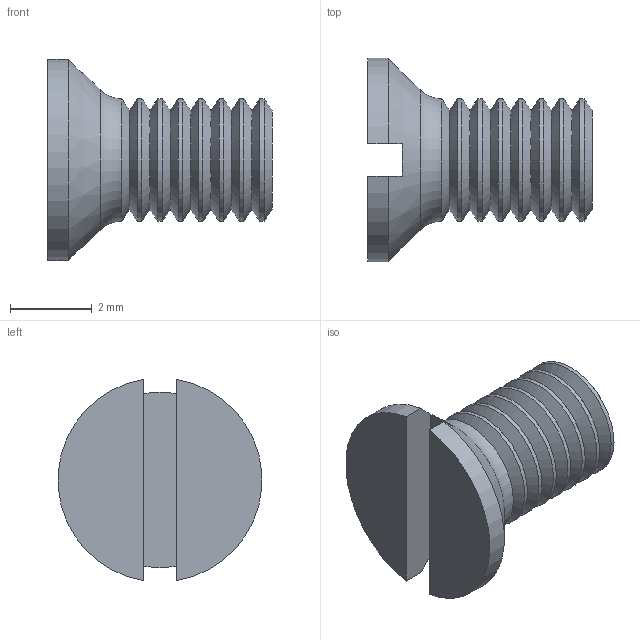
import cadquery as cq
import math

head_radius = 2.5
rim_length = 0.5
total_length = 5.5
slot_width = 0.8
slot_depth = 0.85

crest_radius = 1.5
root_radius = 1.22
pitch = 0.5
crest_width = 0.1
ridge_count = 7
flank_length = (pitch - crest_width) / 2
thread_start = total_length - ridge_count * pitch

cone_angle = math.radians(45)
neck_radius = 0.75
cone_tip = rim_length + (head_radius - crest_radius) / math.tan(cone_angle)
neck_end = cone_tip + neck_radius * math.tan(cone_angle / 2)
neck_center_radius = crest_radius + neck_radius


def neck_point(angle):
    """Point (x, radius) on the neck arc, at an angle measured back from the shank."""
    x = neck_end - neck_radius * math.sin(angle)
    radius = neck_center_radius - neck_radius * math.cos(angle)
    return x, radius


def make_body():
    """Head, neck and thread revolved as one half profile."""
    profile = (
        cq.Workplane("XZ")
        .moveTo(0, 0)
        .lineTo(0, head_radius)
        .lineTo(rim_length, head_radius)
        .lineTo(*neck_point(cone_angle))
        .threePointArc(neck_point(cone_angle / 2), neck_point(0))
        .lineTo(thread_start, root_radius)
    )
    for ridge in range(ridge_count):
        ridge_start = thread_start + ridge * pitch
        crest_start = ridge_start + flank_length
        profile = (
            profile.lineTo(crest_start, crest_radius)
            .lineTo(crest_start + crest_width, crest_radius)
            .lineTo(ridge_start + pitch, root_radius)
        )
    profile = profile.lineTo(total_length, 0).close()
    return profile.revolve(360, (0, 0, 0), (1, 0, 0))


def make_slot():
    """Driver slot running across the head along Z."""
    slot_length = 2 * head_radius
    slot = cq.Workplane("XY").box(slot_depth, slot_width, slot_length)
    return slot.translate((slot_depth / 2, 0, 0))


result = make_body().cut(make_slot())